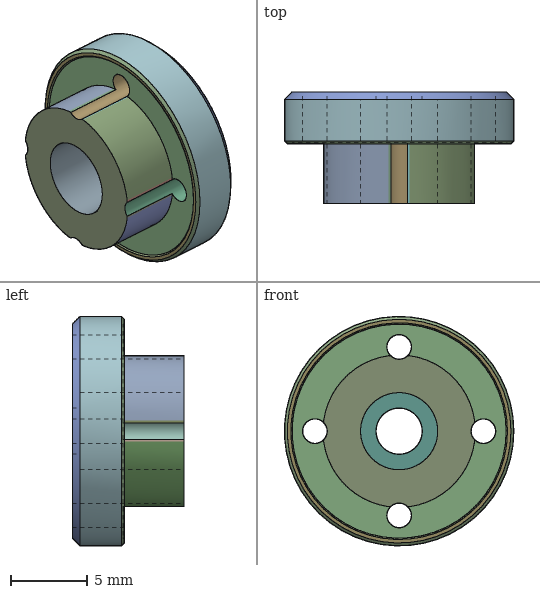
import cadquery as cq
import math

flange_radius = 7.5
flange_thickness = 3.4
total_length = 7.3
hub_radius = 4.98
bore_radius = 2.52
through_radius = 1.5
back_wall = 0.5
back_chamfer = 0.5
front_chamfer = 0.2

recess_rim_radius = 7.08
recess_floor_radius = 6.99
recess_depth = 0.09

pin_hole_radius = 0.8
pin_circle_radius = 5.5
pin_count = 4

scallop_mouth_half_width = 0.69
scallop_edge_half_width = 0.54

flange_front = total_length - flange_thickness
recess_floor = flange_front + recess_depth


def make_body():
    """Revolve the flange, its recess, the hub and the stepped bore."""
    bore_floor = total_length - back_wall
    profile = (
        cq.Workplane("XY")
        .moveTo(bore_radius, 0)
        .lineTo(hub_radius, 0)
        .lineTo(hub_radius, recess_floor)
        .lineTo(recess_floor_radius, recess_floor)
        .lineTo(recess_rim_radius, flange_front)
        .lineTo(flange_radius - front_chamfer, flange_front)
        .lineTo(flange_radius, flange_front + front_chamfer)
        .lineTo(flange_radius, total_length - back_chamfer)
        .lineTo(flange_radius - back_chamfer, total_length)
        .lineTo(through_radius, total_length)
        .lineTo(through_radius, bore_floor)
        .lineTo(bore_radius, bore_floor)
        .close()
    )
    return profile.revolve(360, (0, 0, 0), (0, 1, 0))


def make_pin_holes():
    """Cylinders through the whole length, evenly spaced around the axis."""
    return (
        cq.Workplane("XZ")
        .polarArray(pin_circle_radius, 0, 360, pin_count)
        .circle(pin_hole_radius)
        .extrude(-total_length)
    )


def make_scallop_flats():
    """Bars that bevel the scallop edges along the hub, stopping at the recess floor."""
    mouth_height = math.sqrt(hub_radius**2 - scallop_mouth_half_width**2)
    edge_height = pin_circle_radius - math.sqrt(pin_hole_radius**2 - scallop_edge_half_width**2)
    bar = (
        cq.Workplane("XZ")
        .moveTo(-scallop_edge_half_width, edge_height)
        .lineTo(scallop_edge_half_width, edge_height)
        .lineTo(scallop_mouth_half_width, mouth_height)
        .lineTo(scallop_mouth_half_width, pin_circle_radius)
        .lineTo(-scallop_mouth_half_width, pin_circle_radius)
        .lineTo(-scallop_mouth_half_width, mouth_height)
        .close()
        .extrude(-recess_floor)
    )
    bars = cq.Workplane("XZ")
    for index in range(pin_count):
        bars = bars.add(bar.rotate((0, 0, 0), (0, 1, 0), index * 360 / pin_count))
    return bars.combine()


result = make_body().cut(make_pin_holes()).cut(make_scallop_flats())